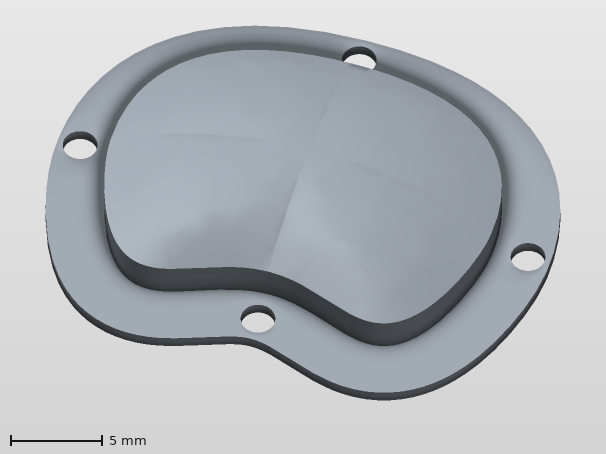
import cadquery as cq

flange_thickness = 0.7
wall_top = 2.75
dome_top = 4.35

notch_y = -6.67
rear_y = 8.30
side_x = 10.90
side_y = -0.64
side_slope = 0.04
flange_width = 3.2
flange_points_per_curve = 16

notch_handle = 5.32
lobe_pole = (7.58, -12.98)
side_front_handle = 3.39
side_rear_handle = 3.92
rear_handle = 9.32

hole_diameter = 1.9
side_hole_x = 12.83
rear_hole_y = 10.1
front_hole_y = -8.44

dome_rim_positions = (0.25, 0.5, 0.75)
dome_reaches = (0.4, 0.8)
dome_fullness = 2.5

apex = cq.Vector(0, (notch_y + rear_y) / 2, dome_top)


def front_curve(side, z):
    """Outline from the notch, around the front lobe, to the side; side is +1 or -1."""
    poles = [
        (0, notch_y),
        (notch_handle, notch_y),
        lobe_pole,
        (side_x - side_front_handle * side_slope, side_y - side_front_handle),
        (side_x, side_y),
    ]
    return cq.Edge.makeBezier([cq.Vector(side * x, y, z) for x, y in poles])


def rear_curve(side, z):
    """Outline from the side to the middle of the rear; side is +1 or -1."""
    poles = [
        (side_x, side_y),
        (side_x + side_rear_handle * side_slope, side_y + side_rear_handle),
        (rear_handle, rear_y),
        (0, rear_y),
    ]
    return cq.Edge.makeBezier([cq.Vector(side * x, y, z) for x, y in poles])


def body_outline(z):
    edges = [front_curve(1, z), rear_curve(1, z), rear_curve(-1, z), front_curve(-1, z)]
    return cq.Wire.assembleEdges(edges)


def flange_outline():
    """Two mirrored splines that meet at the notch and the rear, set outside the body outline."""
    front_points = offset_points(front_curve(1, 0))
    rear_points = offset_points(rear_curve(1, 0))
    rear_middle = cq.Vector(0, rear_y + flange_width)
    right_half = [*front_points, *rear_points, rear_middle]
    left_half = [cq.Vector(-point.x, point.y) for point in reversed(right_half)]
    edges = [cq.Edge.makeSpline(right_half), cq.Edge.makeSpline(left_half)]
    return cq.Wire.assembleEdges(edges)


def offset_points(curve):
    """Points outside a curve that runs counterclockwise, from its start up to just before its end."""
    points = []
    for step in range(flange_points_per_curve):
        position = step / flange_points_per_curve
        tangent = curve.tangentAt(position)
        outward = cq.Vector(tangent.y, -tangent.x)
        points.append(curve.positionAt(position) + outward * flange_width)
    return points


def make_flange():
    outline = flange_outline()
    plate = cq.Solid.extrudeLinear(outline, [], cq.Vector(0, 0, flange_thickness))
    hole_centers = [(-side_hole_x, 0), (side_hole_x, 0), (0, rear_hole_y), (0, front_hole_y)]
    holes = cq.Workplane().pushPoints(hole_centers).circle(hole_diameter / 2).extrude(flange_thickness)
    return cq.Workplane(plate).cut(holes)


def dome_points(rim_curve):
    """Points inside a dome patch, on lines that drop ever more steeply from the level apex to the rim."""
    points = []
    for rim_position in dome_rim_positions:
        run = rim_curve.positionAt(rim_position) - apex
        for reach in dome_reaches:
            drop = (dome_top - wall_top) * reach**dome_fullness
            points.append(apex + cq.Vector(run.x * reach, run.y * reach, -drop))
    return points


def dome_patch(first_arc, rim_curve, second_arc):
    return cq.Face.makeNSidedSurface([first_arc, rim_curve, second_arc], dome_points(rim_curve))


def dome_patches():
    """Four three-sided patches between the wall's top edge and arcs down from the apex."""
    along_x = cq.Vector(1, 0, 0)
    along_y = cq.Vector(0, 1, 0)
    notch_arc = cq.Edge.makeTangentArc(apex, -along_y, cq.Vector(0, notch_y, wall_top))
    rear_arc = cq.Edge.makeTangentArc(apex, along_y, cq.Vector(0, rear_y, wall_top))
    patches = []
    for side in (1, -1):
        side_point = cq.Vector(side * side_x, side_y, wall_top)
        side_arc = cq.Edge.makeTangentArc(apex, along_x * side, side_point)
        patches.append(dome_patch(notch_arc, front_curve(side, wall_top), side_arc))
        patches.append(dome_patch(side_arc, rear_curve(side, wall_top), rear_arc))
    return patches


def make_body():
    """Upright wall closed by the dome above and a flat face below."""
    bottom = cq.Face.makeFromWires(body_outline(0))
    walls = []
    for side in (1, -1):
        for curve in (front_curve, rear_curve):
            walls.append(cq.Face.makeRuledSurface(curve(side, 0), curve(side, wall_top)))
    return cq.Solid.makeSolid(cq.Shell.makeShell([bottom, *walls, *dome_patches()]))


result = make_flange().union(cq.Workplane(make_body())).solids()